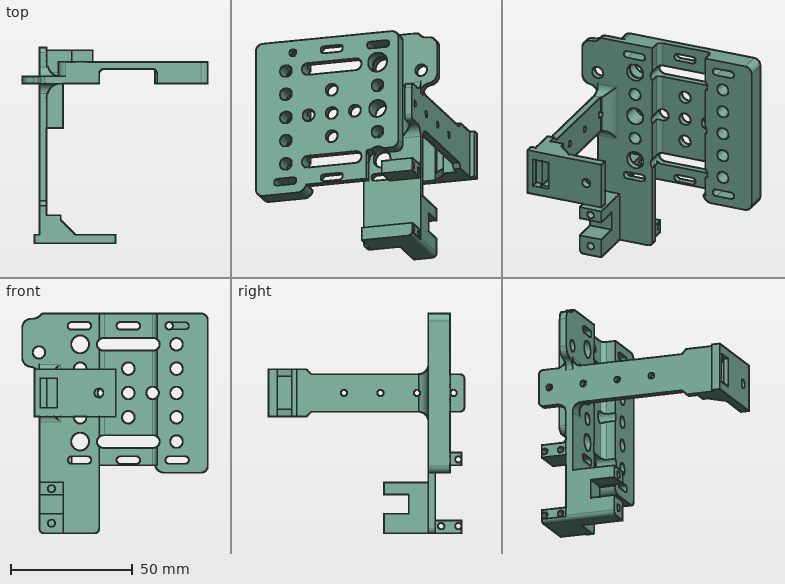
import cadquery as cq
import math


layer = 3.0
strip_back = layer
web_front = 2 * layer
plate_back = 3 * layer

height = 90.5
ear_left = -7.15
plate_right = 69.3
mid_z = 57.7

small_radius = 2.0
corner_radius = 3.0
large_radius = 4.0

strip_right = 24.6
ear_bottom_tangent_z = 72.4
ear_top = 88.3
ear_neck_start = -2.6
ear_hole_diameter = 5.0
ear_hole_x = -0.2
ear_hole_z = 74.4

block_left = 7.7
block_bottom = 40.4
step_left = 22.1
step_radius = strip_right - step_left
web_left = 21.5
web_bottom = 28.0
leg_left = 47.4
leg_bottom = 24.9
groove_right = 48.4

hole_diameter = 5.1
large_hole_diameter = 7.2
rear_bore_diameter = 8.1
row_count = 5
row_span = 40.0
row_pitch = row_span / (row_count - 1)
center_x = 36.6
column_pitch = 19.8

long_slot_length = 25.7
short_slot_length = 9.6
short_slot_width = 3.0
short_slot_pitch = 20.1
short_slot_z_offset = 27.6
blind_slot_depth = web_front

arm_thickness = 3.0
arm_height = 15.6
arm_back = 14.9
arm_length = 80.6
arm_front = arm_back - arm_length
head_height = 19.55
head_flare = (head_height - arm_height) / 2
head_start = -50.1
brace_radius = 5.25
brace_tip = 8.6
arm_hole_diameter = 2.5
arm_hole_pitch = 15.0
arm_hole_first_y = 10.4
arm_hole_count = 4

sensor_left = -2.1
sensor_right = 31.3
sensor_thickness = 3.6
sensor_hole_diameter = 3.6
sensor_hole_x = 24.4
window_left = 0.3
window_right = 7.4
window_height = 12.0
window_depth = 2.0
gusset_back = -54.1
gusset_side_end = -56.1
gusset_width = 8.9
gusset_thickness = layer

fork_width = 9.8
fork_reach = 18.3
fork_top = 21.0
fork_slot_bottom = 8.1
fork_slot_top = 15.9
fork_slot_depth = 10.2
fork_hole_diameter = 3.0
fork_hole_x = 5.0
fork_hole_heights = (4.2, 18.4)

lug_reach = 10.8
lug_recess = 0.1
lug_blend_radius = 1.6
lug_height = 5.3
upper_lug_bottom = web_bottom
upper_lug_length = 13.4
lower_lug_length = 22.0
lug_hole_diameter = 2.5
lug_hole_inset = 1.4
lug_hole_pitch = 7.1
upper_lug_hole_z = 30.4
lower_lug_hole_z = 3.0


def box(x0, x1, y0, y1, z0, z1):
    """Axis-parallel box between two opposite corners."""
    return cq.Workplane("XY").box(x1 - x0, y1 - y0, z1 - z0, centered=False).translate((x0, y0, z0))


def facing_front(y):
    """Workplane at depth y with local axes X and Z; positive extrusion goes to -Y."""
    return cq.Workplane("XZ", origin=(0, y, 0))


def through_plate(sketch):
    """Extrude a sketch lying on the front face through the whole mounting plate."""
    return sketch.extrude(-plate_back)


def on_circle(center, radius, degrees):
    """Point on a circle, angle counted from local +X."""
    angle = math.radians(degrees)
    return (center[0] + radius * math.cos(angle), center[1] + radius * math.sin(angle))


def front_strip():
    """Tall strip with the rounded ear at its upper left."""
    r = large_radius
    ear_center_x = ear_left + r

    low_center = (ear_center_x, ear_bottom_tangent_z)
    hollow_x = -r
    hollow_z = ear_bottom_tangent_z - math.sqrt((2 * r) ** 2 - (hollow_x - ear_center_x) ** 2)
    low_joint = ((ear_center_x + hollow_x) / 2, (ear_bottom_tangent_z + hollow_z) / 2)

    neck_center = (ear_neck_start, ear_top + r)
    rise = height - ear_top
    neck_angle = math.degrees(math.acos(1 - rise / (r + small_radius)))
    neck_end = on_circle(neck_center, r, neck_angle - 90)
    crest_center = on_circle(neck_center, r + small_radius, neck_angle - 90)

    return (
        facing_front(0)
        .moveTo(0, 0)
        .lineTo(strip_right, 0)
        .lineTo(strip_right, height)
        .lineTo(crest_center[0], height)
        .threePointArc(on_circle(crest_center, small_radius, 90 + neck_angle / 2), neck_end)
        .threePointArc(on_circle(neck_center, r, neck_angle / 2 - 90), (ear_neck_start, ear_top))
        .lineTo(ear_center_x, ear_top)
        .threePointArc(on_circle((ear_center_x, ear_top - r), r, 135), (ear_left, ear_top - r))
        .lineTo(ear_left, ear_bottom_tangent_z)
        .threePointArc(on_circle(low_center, r, 225), low_joint)
        .threePointArc(on_circle((hollow_x, hollow_z), r, 45), (0, hollow_z))
        .close()
        .extrude(-strip_back)
        .edges("|Y and <Z")
        .fillet(small_radius)
    )


def rear_block():
    """Thick block behind the strip; its lower edge steps down beside the groove."""
    concave_start = step_left - small_radius
    concave_center = (concave_start, block_bottom - small_radius)
    convex_center = (strip_right, concave_center[1])
    step_bottom = convex_center[1] - step_radius
    return (
        facing_front(strip_back)
        .moveTo(block_left, height)
        .lineTo(block_left, block_bottom)
        .lineTo(concave_start, block_bottom)
        .threePointArc(on_circle(concave_center, small_radius, 45), (step_left, concave_center[1]))
        .threePointArc(on_circle(convex_center, step_radius, 225), (strip_right, step_bottom))
        .lineTo(center_x, step_bottom)
        .lineTo(center_x, web_bottom)
        .lineTo(groove_right, web_bottom)
        .lineTo(groove_right, height)
        .close()
        .extrude(strip_back - plate_back)
        .edges("|Y and <X")
        .fillet(corner_radius)
    )


def right_leg():
    """Full-depth leg on the right with rounded free corners."""
    leg = box(leg_left, plate_right, 0, plate_back, leg_bottom, height)
    leg = leg.edges("|Y and >X").fillet(corner_radius)
    return leg.edges("|Y and <X and <Z").fillet(large_radius)


def groove():
    """Vertical groove in front of the web, rounded at its rear corners."""
    cutter = box(strip_right, groove_right, 0, web_front, web_bottom, height)
    return cutter.edges("|Z and >Y").fillet(small_radius)


def plate_openings():
    """Round holes and slots through the mounting plate."""
    left_x = center_x - column_pitch
    right_x = center_x + column_pitch
    rows = [mid_z - row_span / 2 + i * row_pitch for i in range(row_count)]

    small_points = [(right_x, z) for z in rows]
    small_points += [(center_x, z) for z in rows[1:-1]]
    small_points += [(left_x, z) for z in rows[1::2]]
    small_points += [(center_x + side * row_pitch, mid_z) for side in (-1, 1)]
    large_points = [(left_x, z) for z in rows[::2]]
    long_slot_points = [(center_x, z) for z in (rows[0], rows[-1])]

    low_z = mid_z - short_slot_z_offset
    high_z = mid_z + short_slot_z_offset
    slot_columns = [center_x + i * short_slot_pitch for i in (-1, 0, 1)]
    slot_points = [(x, low_z) for x in slot_columns] + [(x, high_z) for x in slot_columns[:2]]

    cutter = through_plate(facing_front(0).pushPoints(small_points).circle(hole_diameter / 2))
    for sketch in (
        facing_front(0).pushPoints(large_points).circle(large_hole_diameter / 2),
        facing_front(0).pushPoints(long_slot_points).slot2D(long_slot_length, hole_diameter),
        facing_front(0).pushPoints(slot_points).slot2D(short_slot_length, short_slot_width),
        facing_front(0).center(ear_hole_x, ear_hole_z).circle(ear_hole_diameter / 2),
    ):
        cutter = cutter.union(through_plate(sketch))

    blind_x = slot_columns[-1]
    end_x = blind_x - (short_slot_length - short_slot_width) / 2
    blind = facing_front(0).center(blind_x, high_z).slot2D(short_slot_length, short_slot_width)
    end_hole = facing_front(0).center(end_x, high_z).circle(short_slot_width / 2)
    cutter = cutter.union(blind.extrude(-blind_slot_depth)).union(through_plate(end_hole))

    bore = facing_front(strip_back).center(left_x, rows[-1]).circle(rear_bore_diameter / 2)
    return cutter.union(bore.extrude(strip_back - plate_back))


def arm():
    """Arm across the strip, widened at its head and blended into the strip."""
    half_arm = arm_height / 2
    plain = box(0, arm_thickness, arm_front, arm_back, mid_z - half_arm, mid_z + half_arm)
    plain = plain.edges("|X and >Y").fillet(small_radius)

    half_head = head_height / 2
    head = (
        cq.Workplane("YZ")
        .moveTo(arm_front, mid_z - half_head)
        .lineTo(head_start, mid_z - half_head)
        .lineTo(head_start + head_flare, mid_z - half_arm)
        .lineTo(head_start + head_flare, mid_z + half_arm)
        .lineTo(head_start, mid_z + half_head)
        .lineTo(arm_front, mid_z + half_head)
        .close()
        .extrude(arm_thickness)
    )
    return plain.union(head).union(brace())


def brace():
    """Mitred hollow blend between the arm and both faces of the strip."""
    y0 = -large_radius
    y1 = strip_back + large_radius
    low_z = mid_z - arm_height / 2 - large_radius
    high_z = mid_z + arm_height / 2 + large_radius
    body = box(0, brace_tip, y0, y1, low_z, high_z)
    corners = [(y, z) for y in (y0, y1) for z in (low_z, high_z)]
    body = body.cut(cq.Workplane("YZ").pushPoints(corners).circle(large_radius).extrude(brace_tip))
    centers = [(brace_tip, y) for y in (-brace_radius, strip_back + brace_radius)]
    return body.cut(cq.Workplane("XY").pushPoints(centers).circle(brace_radius).extrude(height))


def arm_holes():
    """Row of cross holes along the arm."""
    points = [(arm_hole_first_y - i * arm_hole_pitch, mid_z) for i in range(arm_hole_count)]
    return cq.Workplane("YZ").pushPoints(points).circle(arm_hole_diameter / 2).extrude(brace_tip)


def gusset_foot_x(plate_rear):
    """X where the 45-degree side of a gusset web meets the rear of the sensor plate."""
    return gusset_width + gusset_side_end - plate_rear


def sensor_plate():
    """Cross plate at the front end of the arm with two gusset webs and their end wall."""
    half = head_height / 2
    plate_rear = arm_front + sensor_thickness
    plate = box(sensor_left, sensor_right, arm_front, plate_rear, mid_z - half, mid_z + half)
    gusset = (
        cq.Workplane("XY")
        .moveTo(0, gusset_back)
        .lineTo(gusset_width, gusset_back)
        .lineTo(gusset_width, gusset_side_end)
        .lineTo(gusset_foot_x(plate_rear), plate_rear)
        .lineTo(0, plate_rear)
        .close()
        .extrude(gusset_thickness)
    )
    for web_z in (mid_z - half, mid_z + half - gusset_thickness):
        plate = plate.union(gusset.translate((0, 0, web_z)))
    wall = box(0, gusset_width, gusset_side_end, gusset_back, mid_z - half, mid_z + half)
    return plate.union(wall)


def sensor_openings():
    """Window with a relief behind it between the gusset webs, and the round hole."""
    plate_rear = arm_front + sensor_thickness
    half = window_height / 2
    window = box(window_left, window_right, arm_front, plate_rear, mid_z - half, mid_z + half)
    half = head_height / 2 - gusset_thickness
    relief_front = arm_front + window_depth
    relief_right = gusset_foot_x(plate_rear)
    relief = box(arm_thickness, relief_right, relief_front, plate_rear, mid_z - half, mid_z + half)
    hole = facing_front(arm_front).center(sensor_hole_x, mid_z).circle(sensor_hole_diameter / 2)
    return window.union(relief).union(hole.extrude(-sensor_thickness))


def fork():
    """Two-pronged block on the front of the strip with a blind hole in each prong."""
    front = -fork_reach
    slot_rear = front + fork_slot_depth
    body = box(0, fork_width, front, strip_back, 0, fork_top)
    body = body.edges("|Y and <X and <Z").fillet(small_radius)
    body = body.cut(box(0, fork_width, front, slot_rear, fork_slot_bottom, fork_slot_top))
    points = [(fork_hole_x, z) for z in fork_hole_heights]
    holes = facing_front(front).pushPoints(points).circle(fork_hole_diameter / 2)
    return body.cut(holes.extrude(-fork_slot_depth))


def lug(length, bottom, hole_z):
    """Block behind the strip with two cross holes."""
    lug_back = strip_back + lug_reach
    body = box(lug_recess, length, strip_back, lug_back, bottom, bottom + lug_height)
    first_y = lug_back - lug_hole_inset
    points = [(first_y, hole_z), (first_y - lug_hole_pitch, hole_z)]
    return body.cut(cq.Workplane("YZ").pushPoints(points).circle(lug_hole_diameter / 2).extrude(length))


def upper_lug_blend():
    """Hollow blend between the top of the upper lug and the back of the strip."""
    r = lug_blend_radius
    top = upper_lug_bottom + lug_height
    blend = box(lug_recess, upper_lug_length, strip_back, strip_back + r, top, top + r)
    hollow = cq.Workplane("YZ").center(strip_back + r, top + r).circle(r)
    return blend.cut(hollow.extrude(upper_lug_length))


web = box(web_left, groove_right, web_front, plate_back, web_bottom, block_bottom)
mounting_plate = front_strip().union(rear_block()).union(web).union(right_leg()).cut(groove())

sensor_arm = arm().union(sensor_plate()).cut(arm_holes()).cut(sensor_openings())

foot = box(0, lower_lug_length, strip_back, strip_back + lug_reach, 0, lug_height)
foot = foot.edges("|Y and <X and <Z").fillet(small_radius)
lower_lug = lug(lower_lug_length, 0, lower_lug_hole_z).intersect(foot)

upper_lug = lug(upper_lug_length, upper_lug_bottom, upper_lug_hole_z).union(upper_lug_blend())

result = mounting_plate.union(sensor_arm).union(fork()).union(lower_lug)
result = result.cut(plate_openings(), clean=False)
result = result.union(upper_lug, clean=False)